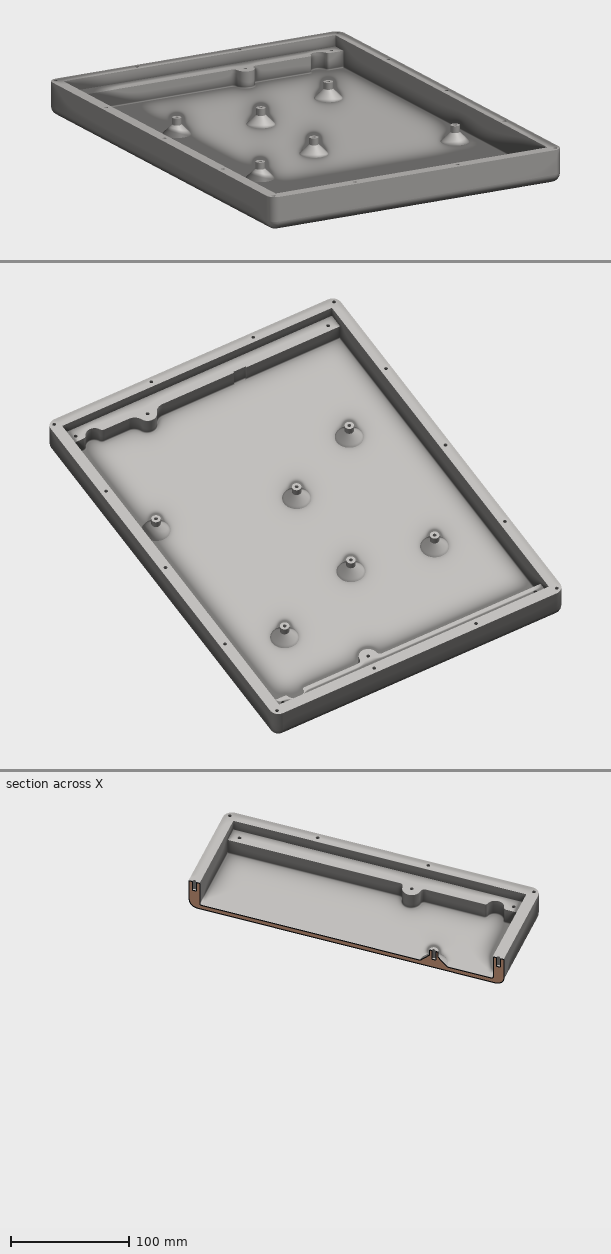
import cadquery as cq
import math

length = 384.0
width = 284.0
height = 30.0
wall = 10.0
floor_thickness = 5.0
corner_radius = 8.0
bottom_radius = 8.0
floor_blend = 1.0

ledge_width = 14.0
ledge_top = 20.0

boss_radius = 8.0
boss_overhang = 3.0
left_boss_y = 35.0
left_boss_flare = 4.0
right_boss_y = 58.5
right_boss_flare = 9.5
notch_radius = 7.5
notch_y = 109.0
left_notch_offset = 0.0
left_notch_flare = 2.3
right_notch_offset = 1.0
right_notch_flare = 4.0

slot_depth = 1.0
slot_length = 12.0
slot_y = -34.0

cone_diameter = 24.5
cone_height = 8.5
pin_diameter = 8.0
standoff_height = 14.5
standoff_points = [
    (-100.0, 78.7),
    (59.5, 111.7),
    (-63.7, -7.3),
    (30.7, -9.2),
    (-75.3, -82.5),
    (68.0, -82.5),
]

hole_diameter = 3.2
hole_depth = 10.0
rim_hole_pitch = 100.0
side_holes_center_y = -8.0
ledge_hole_inset_x = 18.0
ledge_hole_inset_y = 18.5

inner_length = length - 2 * wall
inner_width = width - 2 * wall
ledge_height = ledge_top - floor_thickness
ledge_edge_x = inner_length / 2 - ledge_width
standoff_top = floor_thickness + standoff_height


def floor_plane(x=0.0, y=0.0):
    return cq.Workplane("XY", origin=(x, y, floor_thickness))


def make_shell():
    body = cq.Workplane("XY").box(length, width, height, centered=(True, True, False))
    body = body.edges("|Z").fillet(corner_radius)
    body = body.faces("<Z").edges().fillet(bottom_radius)
    return body.cut(floor_plane().rect(inner_length, inner_width).extrude(height))


def round_ledge_corners(ledge, side, center_y, offset, radius, flare):
    """Blend the two upright corners where a disc set off from the ledge edge crosses that edge."""
    half_chord = math.sqrt(radius**2 - offset**2)
    reach = 0.5
    x = side * ledge_edge_x
    for y in (center_y - half_chord, center_y + half_chord):
        corner = cq.selectors.BoxSelector(
            (x - reach, y - reach, floor_thickness),
            (x + reach, y + reach, ledge_top),
        )
        ledge = ledge.edges(corner).fillet(flare)
    return ledge


def make_ledge(side, boss_y, boss_flare, notch_offset, notch_flare):
    """Ledge on the +X (side 1) or -X (side -1) wall, with one boss and one notch in its edge."""
    center_x = side * (ledge_edge_x + ledge_width / 2)
    boss_x = side * (ledge_edge_x - boss_overhang)
    notch_x = side * (ledge_edge_x - notch_offset)
    ledge = floor_plane(center_x).rect(ledge_width, inner_width).extrude(ledge_height)
    ledge = ledge.union(floor_plane(boss_x, boss_y).circle(boss_radius).extrude(ledge_height))
    ledge = ledge.cut(floor_plane(notch_x, notch_y).circle(notch_radius).extrude(ledge_height))
    ledge = round_ledge_corners(ledge, side, boss_y, boss_overhang, boss_radius, boss_flare)
    return round_ledge_corners(ledge, side, notch_y, notch_offset, notch_radius, notch_flare)


def make_standoff(x, y):
    profile = [
        (0, 0),
        (cone_diameter / 2, 0),
        (pin_diameter / 2, cone_height),
        (pin_diameter / 2, standoff_height),
        (0, standoff_height),
    ]
    standoff = cq.Workplane("XZ").polyline(profile).close().revolve()
    return standoff.translate((x, y, floor_thickness))


def make_holes(points, top):
    plane = cq.Workplane("XY", origin=(0, 0, top))
    return plane.pushPoints(points).circle(hole_diameter / 2).extrude(-hole_depth)


left_ledge = make_ledge(-1, left_boss_y, left_boss_flare, left_notch_offset, left_notch_flare)
right_ledge = make_ledge(1, right_boss_y, right_boss_flare, right_notch_offset, right_notch_flare)
slot = floor_plane(ledge_edge_x, slot_y).rect(2 * slot_depth, slot_length).extrude(ledge_height)
result = make_shell().union(left_ledge).union(right_ledge.cut(slot))

floor_center = (0, 0, floor_thickness)
result = result.faces(cq.selectors.NearestToPointSelector(floor_center)).edges().fillet(floor_blend)

for standoff_x, standoff_y in standoff_points:
    result = result.union(make_standoff(standoff_x, standoff_y))

rim_x = (length - wall) / 2
rim_y = (width - wall) / 2
rim_points = []
for y in (-rim_y, rim_y):
    for x in (-rim_x, -rim_hole_pitch, 0, rim_hole_pitch, rim_x):
        rim_points.append((x, y))
for x in (-rim_x, rim_x):
    for step in (-0.5, 0.5):
        rim_points.append((x, side_holes_center_y + step * rim_hole_pitch))

ledge_hole_x = length / 2 - ledge_hole_inset_x
ledge_hole_y = width / 2 - ledge_hole_inset_y
boss_hole_x = ledge_edge_x - boss_overhang
ledge_points = [(x, y) for x in (-ledge_hole_x, ledge_hole_x) for y in (-ledge_hole_y, ledge_hole_y)]
ledge_points.append((-boss_hole_x, left_boss_y))
ledge_points.append((boss_hole_x, right_boss_y))

result = result.cut(make_holes(rim_points, height))
result = result.cut(make_holes(ledge_points, ledge_top))
result = result.cut(make_holes(standoff_points, standoff_top))